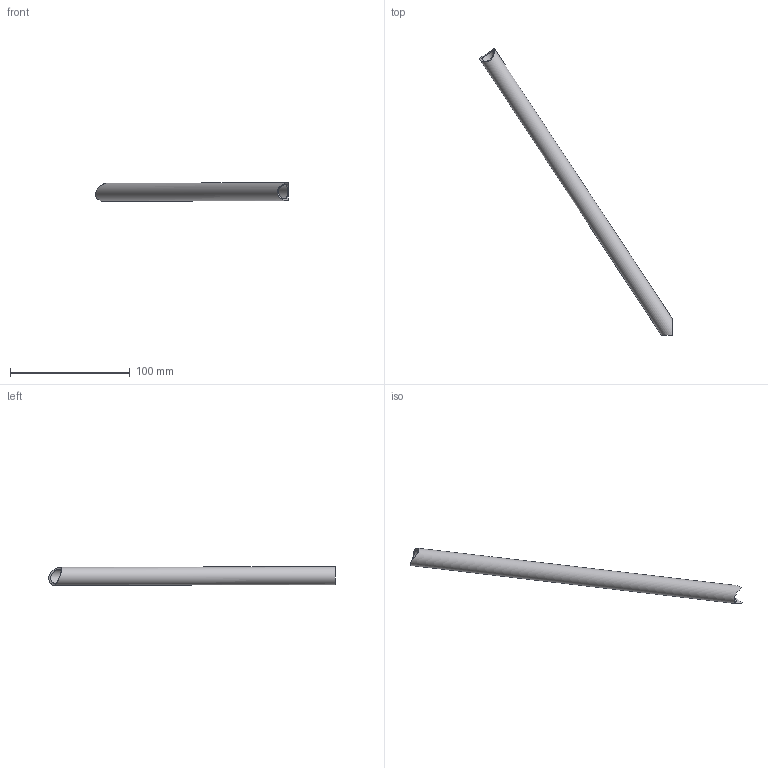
import cadquery as cq
import math

outer_diameter = 15.0
wall = 1.5
heading = 33.386
axis_length = 280.57
axis_drop = 0.53
saddle_radius = 12.5
saddle_lean = 21.75
saddle_side_lean = 8.0
run_out = 40.0

outer_radius = outer_diameter / 2
inner_radius = outer_radius - wall

heading_radians = math.radians(heading)
along = cq.Vector(-math.sin(heading_radians), math.cos(heading_radians), 0)
leftward = cq.Vector(-math.cos(heading_radians), -math.sin(heading_radians), 0)
up = cq.Vector(0, 0, 1)

corner = cq.Vector(0, 0, 0)
axis_direction = along * axis_length - up * axis_drop
twin_direction = cq.Vector(-axis_direction.x, axis_direction.y, axis_direction.z)


def tube_stock():
    """Round tube on the sloping axis, from the joint corner to beyond the far saddle."""
    plane = cq.Plane(origin=corner, xDir=leftward, normal=axis_direction)
    return cq.Workplane(plane).circle(outer_radius).circle(inner_radius).extrude(axis_length + run_out)


def twin_tube_cutter():
    """Mirrored tube of equal diameter; fitting against it brings the near end to a right-angled point."""
    plane = cq.Plane(origin=corner, xDir=up, normal=twin_direction)
    return cq.Workplane(plane).circle(outer_radius).extrude(run_out, both=True)


def upright_tube_cutter():
    """Leaning cylinder whose near side forms the saddle at the far end."""
    back_tilt = math.tan(math.radians(saddle_lean))
    side_tilt = math.tan(math.radians(saddle_side_lean))
    cutter_direction = up - along * back_tilt + leftward * side_tilt
    tips_to_axis = math.sqrt(saddle_radius**2 - outer_radius**2) / math.cos(math.radians(saddle_lean))
    centre = along * (axis_length + tips_to_axis) - up * axis_drop
    plane = cq.Plane(origin=centre, xDir=leftward, normal=cutter_direction)
    return cq.Workplane(plane).circle(saddle_radius).extrude(run_out, both=True)


fitted_stock = tube_stock().cut(twin_tube_cutter()).cut(upright_tube_cutter())

result = fitted_stock.solids(cq.selectors.NearestToPointSelector(corner.toTuple()))